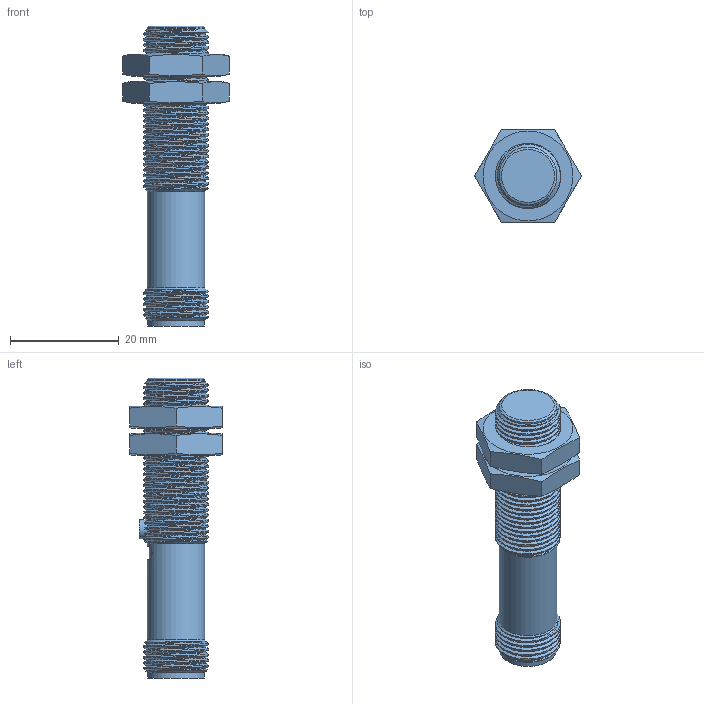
import cadquery as cq
import math

total_length = 55.2
barrel_radius = 5.3
tail_radius = 5.2
tip_chamfer_width = 0.43
tip_chamfer_height = 0.2

thread_radius = 6.0
pitch = 1.0
thread_flank_angle = math.radians(30)
crest_flat = pitch / 4
root_flat = pitch / 5
thread_start_angle = 120.0
thread_depth = (pitch - crest_flat - root_flat) / (2 * math.tan(thread_flank_angle))

connector_thread_bottom = 1.0
connector_thread_top = 7.0
main_thread_bottom = 24.7
main_thread_top = 54.7

nut_across_flats = 17.0
nut_height = 4.0
nut_face_radius = 8.27
nut_chamfer_angle = math.radians(13)
nut_bottoms = (41.0, 46.0)

screw_radius = 1.75
screw_height = 27.4
screw_reach = 6.8

window_length = 6.0
window_width = 2.4
window_height = 22.93
window_floor_radius = 4.97


def turned_blank():
    """Barrel with its two thread lengths, bevelled at 45 degrees at both ends, not yet threaded."""
    bevel = thread_radius - barrel_radius
    outline = [
        (0, 0),
        (tail_radius, 0),
        (tail_radius, connector_thread_bottom),
        (barrel_radius, connector_thread_bottom),
        (thread_radius, connector_thread_bottom + bevel),
        (thread_radius, connector_thread_top - bevel),
        (barrel_radius, connector_thread_top),
        (barrel_radius, main_thread_bottom),
        (thread_radius, main_thread_bottom + bevel),
        (thread_radius, main_thread_top - bevel),
        (barrel_radius, main_thread_top),
        (barrel_radius, total_length - tip_chamfer_height),
        (barrel_radius - tip_chamfer_width, total_length),
        (0, total_length),
    ]
    return cq.Workplane("XZ").polyline(outline).close().revolve(360, (0, 0, 0), (0, 1, 0))


def thread_groove(bottom, top):
    """Helical V groove reaching one pitch past both ends of a threaded length."""
    overcut = 0.1
    inner = thread_radius - thread_depth
    outer = thread_radius + overcut
    half_root = root_flat / 2
    half_mouth = half_root + (outer - inner) * math.tan(thread_flank_angle)
    helix = cq.Wire.makeHelix(pitch, top - bottom + 2 * pitch, inner)
    groove = (
        cq.Workplane("XZ")
        .polyline([
            (inner, -half_root),
            (outer, -half_mouth),
            (outer, half_mouth),
            (inner, half_root),
        ])
        .close()
        .sweep(cq.Workplane(helix), isFrenet=True)
    )
    start_lift = pitch * thread_start_angle / 360
    return (
        groove
        .rotate((0, 0, 0), (0, 0, 1), thread_start_angle)
        .translate((0, 0, bottom - pitch + start_lift))
    )


def lock_nut(bottom):
    """Hexagon with conical corner chamfers on both faces."""
    corner_radius = nut_across_flats / math.sqrt(3)
    corner_drop = (corner_radius - nut_face_radius) * math.tan(nut_chamfer_angle)
    hexagon = cq.Workplane("XY").polygon(6, 2 * corner_radius).extrude(nut_height)
    envelope = (
        cq.Workplane("XZ")
        .polyline([
            (0, 0),
            (nut_face_radius, 0),
            (corner_radius, corner_drop),
            (corner_radius, nut_height - corner_drop),
            (nut_face_radius, nut_height),
            (0, nut_height),
        ])
        .close()
        .revolve(360, (0, 0, 0), (0, 1, 0))
    )
    return hexagon.intersect(envelope).translate((0, 0, bottom))


def adjusting_screw():
    """Round head standing out of the thread, running in to the barrel axis."""
    return (
        cq.Workplane("XZ", origin=(0, 0, screw_height))
        .circle(screw_radius)
        .extrude(-screw_reach)
    )


def indicator_window():
    """Obround cutter whose floor follows a cylinder inside the barrel."""
    obround = (
        cq.Workplane("XZ", origin=(0, 0, window_height))
        .slot2D(window_length, window_width)
        .extrude(-thread_radius)
    )
    floor = cq.Workplane("XY").circle(window_floor_radius).extrude(total_length)
    return obround.cut(floor)


body = turned_blank().cut(indicator_window())
body = body.cut(thread_groove(connector_thread_bottom, connector_thread_top))
body = body.cut(thread_groove(main_thread_bottom, main_thread_top))
for nut_bottom in nut_bottoms:
    body = body.union(lock_nut(nut_bottom))
result = body.union(adjusting_screw())